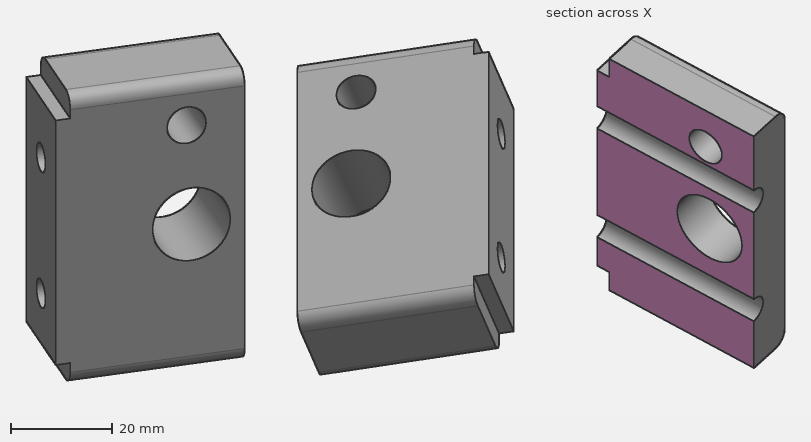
import cadquery as cq

width = 20.0
depth = 39.0
height = 64.0
edge_radius = 3.0

tongue_length = 3.0
shoulder_height = 5.0

mount_diameter = 6.0
mount_pitch = 30.0
mount_middle_z = -1.0

bore_diameter = 16.0
bore_from_back = 11.0
pin_diameter = 8.0
pin_from_back = 12.0
pin_from_top = 10.0


def make_body():
    """Full-height block behind the shoulders, with its four long edges rounded."""
    body_depth = depth - tongue_length
    return (
        cq.Workplane("XY")
        .box(width, body_depth, height, centered=(True, False, True))
        .translate((0, tongue_length, 0))
        .edges("|Y")
        .fillet(edge_radius)
    )


def make_tongue():
    """Front tongue, overlapping the body up to its back face."""
    tongue_height = height - 2 * shoulder_height
    return cq.Workplane("XY").box(width, depth, tongue_height, centered=(True, False, True))


def mount_hole(z):
    """Cutter through the full depth along Y."""
    radius = mount_diameter / 2
    return cq.Workplane(cq.Solid.makeCylinder(radius, depth, cq.Vector(0, 0, z), cq.Vector(0, 1, 0)))


def cross_hole(diameter, y, z):
    """Cutter through the full width along X."""
    start = cq.Vector(-width / 2, y, z)
    return cq.Workplane(cq.Solid.makeCylinder(diameter / 2, width, start, cq.Vector(1, 0, 0)))


result = make_body().union(make_tongue())

for side in (-1, 1):
    result = result.cut(mount_hole(mount_middle_z + side * mount_pitch / 2))

result = result.cut(cross_hole(bore_diameter, depth - bore_from_back, 0))
result = result.cut(cross_hole(pin_diameter, depth - pin_from_back, height / 2 - pin_from_top))